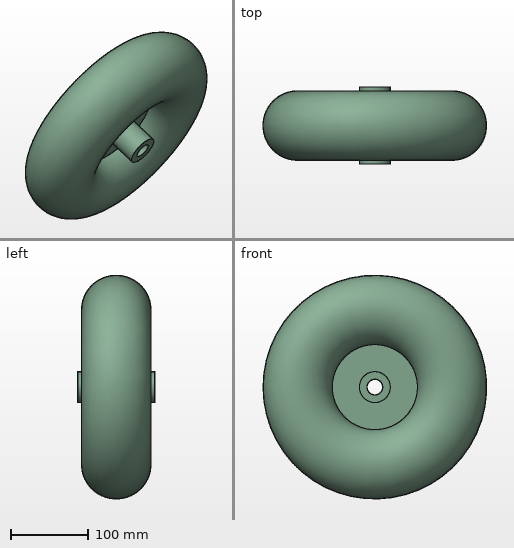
import cadquery as cq

wheel_diameter = 289.7
tire_width = 90.0
hub_length = 100.0
hub_diameter = 40.0
bore_diameter = 20.0
web_thickness = 10.0

tire_radius = tire_width / 2
tire_center_radius = wheel_diameter / 2 - tire_radius


def cylinder_along_axle(diameter, length):
    """Cylinder on the Y axis, centred on the middle plane of the wheel."""
    return cq.Workplane("XZ").circle(diameter / 2).extrude(length / 2, both=True)


tire = (
    cq.Workplane("XY")
    .center(-tire_center_radius, 0)
    .circle(tire_radius)
    .revolve(360, (tire_center_radius, 0), (tire_center_radius, 1))
)

web = cylinder_along_axle(2 * tire_center_radius, web_thickness)

hub = cylinder_along_axle(hub_diameter, hub_length)
bore = cylinder_along_axle(bore_diameter, hub_length)

result = tire.union(web).union(hub).cut(bore)